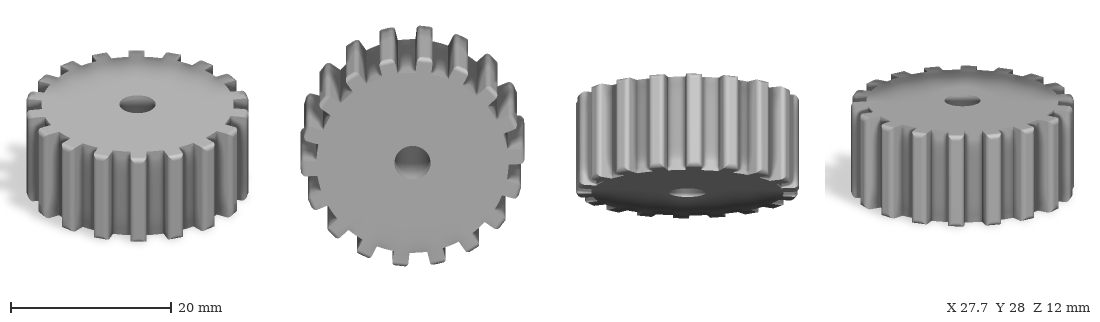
import cadquery as cq

tip_diameter = 28.0
root_diameter = 24.0
height = 12.0
bore_diameter = 4.5
tooth_count = 18
tooth_width = 2.0
tip_fillet = 0.6

tip_radius = tip_diameter / 2
tooth_pitch_angle = 360 / tooth_count
first_tooth_angle = 90


def make_tooth():
    """A bar from the axis out along +X, rounded around its outer face."""
    bar = cq.Workplane("XY").box(tip_radius, tooth_width, height, centered=(False, True, False))
    return bar.faces(">X").edges().fillet(tip_fillet)


def add_teeth(body):
    tooth = make_tooth()
    for index in range(tooth_count):
        angle = first_tooth_angle + index * tooth_pitch_angle
        body = body.union(tooth.rotate((0, 0, 0), (0, 0, 1), angle))
    return body


def cut_bore(body):
    bore = cq.Workplane("XY").circle(bore_diameter / 2).extrude(height)
    return body.cut(bore)


body = cq.Workplane("XY").circle(root_diameter / 2).extrude(height)
result = cut_bore(add_teeth(body))